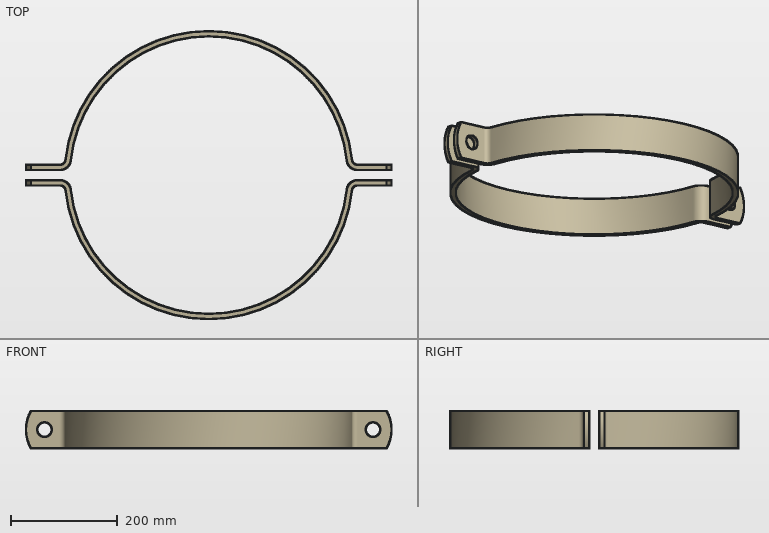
import cadquery as cq
import math

overall_length = 686.0
outer_radius = 270.0
thickness = 10.0
strap_width = 70.0
lug_gap = 18.5
bend_radius = 10.0
lug_end_radius = 70.0
hole_diameter = 27.0
hole_to_tip = 35.0

inner_radius = outer_radius - thickness
tip_x = overall_length / 2
hole_x = tip_x - hole_to_tip
lug_inner_y = lug_gap / 2
lug_outer_y = lug_inner_y + thickness

bend_center_y = lug_outer_y + bend_radius
bend_center_x = math.sqrt((outer_radius + bend_radius) ** 2 - bend_center_y ** 2)
ring_end_angle = math.atan2(bend_center_y, bend_center_x)
bend_middle_angle = -(ring_end_angle + math.pi / 2) / 2


def ring_end(radius, side):
    """Point where the ring arc of this radius meets the bend; side is -1 or 1 along X."""
    return (side * radius * math.cos(ring_end_angle), radius * math.sin(ring_end_angle))


def bend_middle(radius, side):
    """Midpoint of the bend arc of this radius, on the side facing the ring and lug."""
    return (
        side * (bend_center_x - radius * math.cos(bend_middle_angle)),
        bend_center_y + radius * math.sin(bend_middle_angle),
    )


def strap_body():
    """Bent strap with square-ended lugs, centred on Z = 0."""
    large_bend_radius = bend_radius + thickness
    outline = (
        cq.Workplane("XY")
        .moveTo(-tip_x, lug_outer_y)
        .lineTo(-bend_center_x, lug_outer_y)
        .threePointArc(bend_middle(bend_radius, -1), ring_end(outer_radius, -1))
        .threePointArc((0, outer_radius), ring_end(outer_radius, 1))
        .threePointArc(bend_middle(bend_radius, 1), (bend_center_x, lug_outer_y))
        .lineTo(tip_x, lug_outer_y)
        .lineTo(tip_x, lug_inner_y)
        .lineTo(bend_center_x, lug_inner_y)
        .threePointArc(bend_middle(large_bend_radius, 1), ring_end(inner_radius, 1))
        .threePointArc((0, inner_radius), ring_end(inner_radius, -1))
        .threePointArc(bend_middle(large_bend_radius, -1), (-bend_center_x, lug_inner_y))
        .lineTo(-tip_x, lug_inner_y)
        .close()
    )
    return outline.extrude(strap_width / 2, both=True)


def rounded_side_envelope():
    """Block with arc-shaped ends that trims the lug tips."""
    half_width = strap_width / 2
    tip_sagitta = lug_end_radius - math.sqrt(lug_end_radius ** 2 - half_width ** 2)
    corner_x = tip_x - tip_sagitta
    return (
        cq.Workplane("XZ")
        .moveTo(-corner_x, -half_width)
        .lineTo(corner_x, -half_width)
        .threePointArc((tip_x, 0), (corner_x, half_width))
        .lineTo(-corner_x, half_width)
        .threePointArc((-tip_x, 0), (-corner_x, -half_width))
        .close()
        .extrude(-outer_radius)
    )


def lug_holes():
    """Cylinders for the bolt hole through each lug."""
    return (
        cq.Workplane("XZ")
        .pushPoints([(-hole_x, 0), (hole_x, 0)])
        .circle(hole_diameter / 2)
        .extrude(-lug_outer_y)
    )


def clamp_half(turn):
    """One clamp half, turned about Z by the given angle in degrees."""
    half = strap_body().intersect(rounded_side_envelope()).cut(lug_holes())
    return half.rotate((0, 0, 0), (0, 0, 1), turn)


clamp_halves = [clamp_half(turn) for turn in (0, 180)]

result = cq.Compound.makeCompound([half.val() for half in clamp_halves])